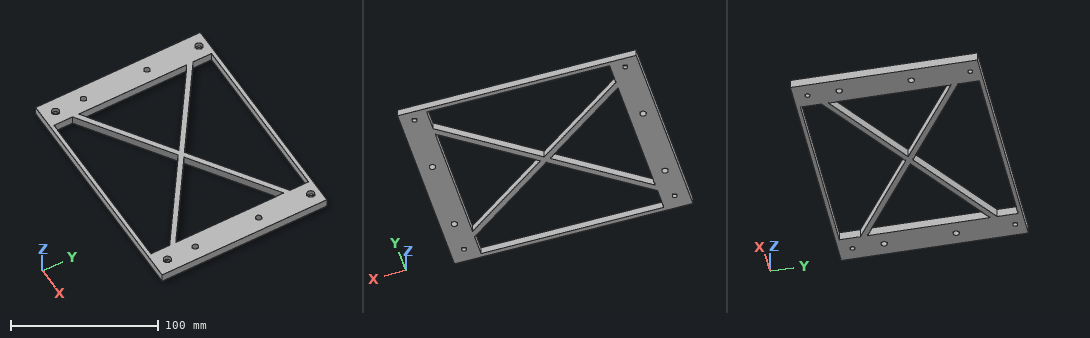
import cadquery as cq

LENGTH = 170.0
WIDTH = 130.0
THICKNESS = 7.0

RAIL_WIDTH = 20.0
BAR_WIDTH = 3.0
WINDOW_LENGTH = LENGTH - 2 * RAIL_WIDTH
WINDOW_WIDTH = WIDTH - 2 * BAR_WIDTH

BRACE_RISE = 90.0
BRACE_HEIGHT = 5.0

HOLE_SPACING_X = LENGTH - RAIL_WIDTH
PLAIN_HOLE_DIAMETER = 4.2
PLAIN_HOLE_YS = (-33.0, 17.0)
SCREW_HOLE_DIAMETER = 3.2
SCREW_HEAD_DIAMETER = 5.5
SCREW_HEAD_DEPTH = THICKNESS / 2
SCREW_HOLE_YS = (-55.0, 58.0)


def make_frame():
    """Rectangular plate with one large window."""
    plate = cq.Workplane("XY").rect(LENGTH, WIDTH).extrude(THICKNESS)
    window = cq.Workplane("XY").rect(WINDOW_LENGTH, WINDOW_WIDTH).extrude(THICKNESS)
    return plate.cut(window)


def make_brace(direction):
    """Parallelogram brace across the window, rising (1) or falling (-1) along +X."""
    half_length = WINDOW_LENGTH / 2
    end_y = direction * BRACE_RISE / 2
    half_height = BRACE_HEIGHT / 2
    corners = [
        (-half_length, -end_y - half_height),
        (half_length, end_y - half_height),
        (half_length, end_y + half_height),
        (-half_length, -end_y + half_height),
    ]
    return cq.Workplane("XY").polyline(corners).close().extrude(THICKNESS)


def rail_points(y_positions):
    """Hole centres on both rails at the given Y positions."""
    return [(side * HOLE_SPACING_X / 2, y) for side in (-1, 1) for y in y_positions]


def cut_plain_holes(body):
    """Plain through holes near the middle of each rail."""
    top = body.faces(">Z").workplane(origin=(0, 0, 0))
    return top.pushPoints(rail_points(PLAIN_HOLE_YS)).hole(PLAIN_HOLE_DIAMETER)


def cut_screw_holes(body):
    """Counterbored through holes near the ends of each rail."""
    top = body.faces(">Z").workplane(origin=(0, 0, 0))
    centres = top.pushPoints(rail_points(SCREW_HOLE_YS))
    return centres.cboreHole(SCREW_HOLE_DIAMETER, SCREW_HEAD_DIAMETER, SCREW_HEAD_DEPTH)


result = make_frame()
for direction in (-1, 1):
    result = result.union(make_brace(direction))
result = cut_plain_holes(result)
result = cut_screw_holes(result)